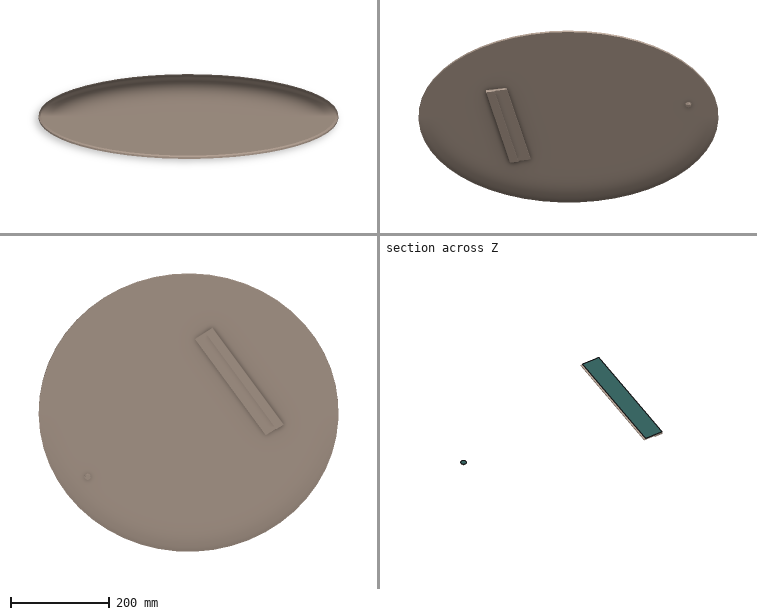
import cadquery as cq

plate_diameter = 609.5
plate_thickness = 5.5
bevel_width = 5.0
bevel_height = 2.0

overall_height = 11.5
rail_drop = overall_height - plate_thickness
hook_length = 256.0
hook_back_y = 145.5
hook_front_y = 128.5
hook_wall = 2.5
hook_shelf_thickness = 3.0
strip_end_inset = 0.5
strip_length = hook_length - 2 * strip_end_inset
strip_foot_y = 106.0
strip_foot_height = 2.0
strip_lip_y = 103.0
strip_lip_drop = 4.0

spacer_y = -248.0
spacer_base_diameter = 13.0
spacer_base_height = 2.0
spacer_tip_diameter = 10.5
spacer_height = 4.0


def make_plate():
    plate = cq.Workplane("XY").circle(plate_diameter / 2).extrude(plate_thickness)
    return plate.faces(">Z").chamfer(bevel_height, bevel_width)


def extrude_along_x(profile, length):
    """Extrude a closed (Y, Z) outline equally to both sides of X = 0."""
    return cq.Workplane("YZ").polyline(profile).close().extrude(length / 2, both=True)


def make_hook():
    """Back wall with a shelf along its lower edge."""
    wall_front_y = hook_back_y - hook_wall
    shelf_top_z = hook_shelf_thickness - rail_drop
    profile = [
        (hook_back_y, 0),
        (wall_front_y, 0),
        (wall_front_y, shelf_top_z),
        (hook_front_y, shelf_top_z),
        (hook_front_y, -rail_drop),
        (hook_back_y, -rail_drop),
    ]
    return extrude_along_x(profile, hook_length)


def make_strip():
    """Strip filling the hook, with a lip overhanging its foot."""
    shelf_top_z = hook_shelf_thickness - rail_drop
    profile = [
        (hook_back_y - hook_wall, 0),
        (strip_foot_y, 0),
        (strip_foot_y, -strip_foot_height),
        (strip_lip_y, -strip_foot_height),
        (strip_lip_y, -strip_lip_drop),
        (hook_front_y, -strip_lip_drop),
        (hook_front_y, shelf_top_z),
        (hook_back_y - hook_wall, shelf_top_z),
    ]
    return extrude_along_x(profile, strip_length)


def make_spacer():
    center = cq.Workplane("XY").center(0, spacer_y)
    base = center.circle(spacer_base_diameter / 2).extrude(-spacer_base_height)
    tip = center.circle(spacer_tip_diameter / 2).extrude(-spacer_height)
    return base.union(tip)


result = make_plate().union(make_hook()).union(make_strip()).union(make_spacer())